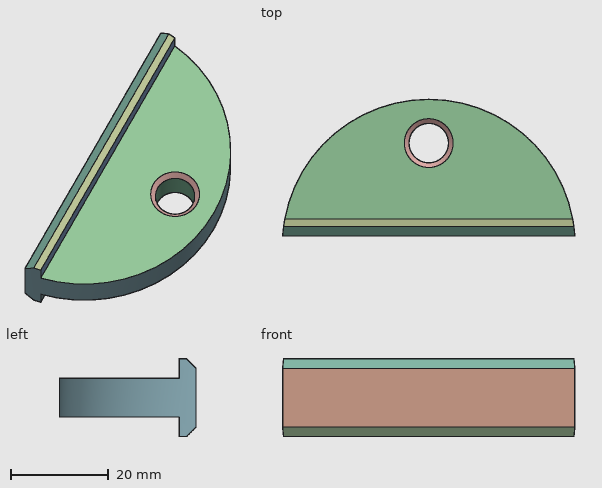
import cadquery as cq

length = 59.85
depth = 28.0
height = 16.0

web_thickness = 8.0
flange_depth = 3.5
flange_chamfer = 2.0

hole_diameter = 8.0
countersink_diameter = 10.0
countersink_angle = 90
hole_from_crown = 9.0
hole_y = depth - hole_from_crown


def segment_prism():
    """Full-height circular segment, centred on Z = 0, with its chord on Y = 0."""
    return (
        cq.Workplane("XY")
        .workplane(offset=-height / 2)
        .moveTo(-length / 2, 0)
        .threePointArc((0, depth), (length / 2, 0))
        .close()
        .extrude(height)
    )


def section_bar():
    """T section in the YZ plane, extruded along the whole length."""
    half_height = height / 2
    half_web = web_thickness / 2
    upper_half = [
        (0, half_height - flange_chamfer),
        (flange_chamfer, half_height),
        (flange_depth, half_height),
        (flange_depth, half_web),
        (depth, half_web),
    ]
    lower_half = [(y, -z) for y, z in reversed(upper_half)]
    return (
        cq.Workplane("YZ")
        .polyline(upper_half + lower_half)
        .close()
        .extrude(length / 2, both=True)
    )


def drill_hole(body):
    """Through hole with a countersink on the upper web face."""
    return (
        body.copyWorkplane(cq.Workplane("XY", origin=(0, hole_y, web_thickness / 2)))
        .cskHole(hole_diameter, countersink_diameter, countersink_angle)
    )


result = drill_hole(segment_prism().intersect(section_bar()))